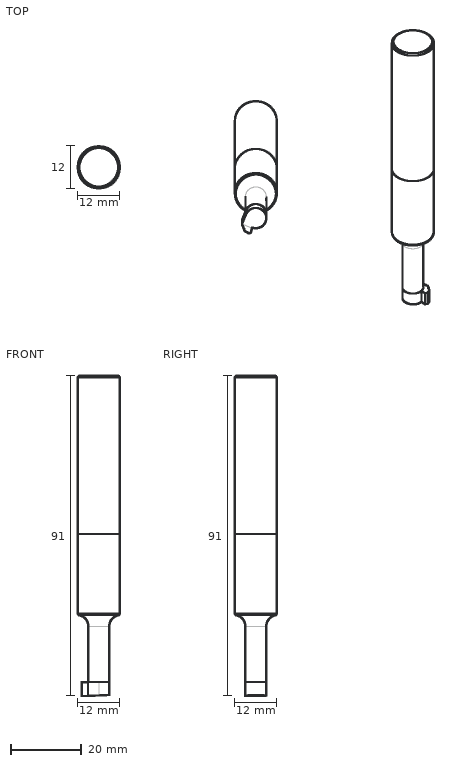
import cadquery as cq
import math

total_length = 91.0
shank_length = 45.0
head_length = 3.92
collar_length = 23.0

shank_radius = 5.99
neck_radius = 3.0

top_chamfer = 0.5
collar_chamfer_height = 0.5
collar_chamfer_depth = 0.3
neck_fillet_radius = 3.2

nose_reach = 4.93
nose_corner_y = -0.1
nose_bevel = 0.45
nose_relief_depth = 0.2
nose_relief_end_y = -1.5
nose_flat_end_x = -3.1
rake_root_y = 0.1
end_relief_angle = 2.5

shank_bottom = total_length - shank_length
collar_bottom = shank_bottom - collar_length
fillet_center_z = collar_bottom - neck_fillet_radius


def make_shank():
    """Plain round shank with a chamfered top rim."""
    shank = cq.Workplane("XY").workplane(offset=shank_bottom).circle(shank_radius).extrude(shank_length)
    return shank.faces(">Z").chamfer(top_chamfer)


def fillet_point(radius):
    """Point (radius, height) on the concave quarter round at a given radius from the axis."""
    center_radius = neck_radius + neck_fillet_radius
    rise = math.sqrt(neck_fillet_radius**2 - (center_radius - radius) ** 2)
    return (radius, fillet_center_z + rise)


def make_neck():
    """Collar as wide as the shank, running through a concave round into the thin neck."""
    rim_radius = shank_radius - collar_chamfer_depth
    middle_radius = neck_radius + neck_fillet_radius * (1 - math.cos(math.radians(45)))
    profile = (
        cq.Workplane("XZ")
        .moveTo(0, shank_bottom)
        .lineTo(shank_radius, shank_bottom)
        .lineTo(shank_radius, collar_bottom + collar_chamfer_height)
        .lineTo(*fillet_point(rim_radius))
        .threePointArc(fillet_point(middle_radius), (neck_radius, fillet_center_z))
        .lineTo(neck_radius, head_length)
        .lineTo(0, head_length)
        .close()
    )
    return profile.revolve(360, (0, 0, 0), (0, 1, 0))


def make_cutting_head():
    """Round head with the cutting nose on its -X side and a sloping relieved end face."""
    rake_root = (-math.sqrt(neck_radius**2 - rake_root_y**2), rake_root_y)
    outline = (
        cq.Workplane("XY")
        .moveTo(0, -neck_radius)
        .threePointArc((neck_radius, 0), rake_root)
        .lineTo(-nose_reach + nose_bevel, nose_corner_y + nose_bevel)
        .lineTo(-nose_reach, nose_corner_y)
        .lineTo(-nose_reach + nose_relief_depth, nose_relief_end_y)
        .lineTo(nose_flat_end_x, -neck_radius)
        .close()
    )
    head = outline.extrude(head_length)

    relief_run = neck_radius - nose_flat_end_x
    relief_height = relief_run * math.tan(math.radians(end_relief_angle))
    relief = (
        cq.Workplane("XZ")
        .polyline([(nose_flat_end_x, 0), (neck_radius, 0), (neck_radius, relief_height)])
        .close()
        .extrude(neck_radius * 2, both=True)
    )
    return head.cut(relief)


shank = make_shank()
neck = make_neck()
cutting_head = make_cutting_head()

result = cq.Compound.makeCompound([shank.val(), neck.val(), cutting_head.val()])